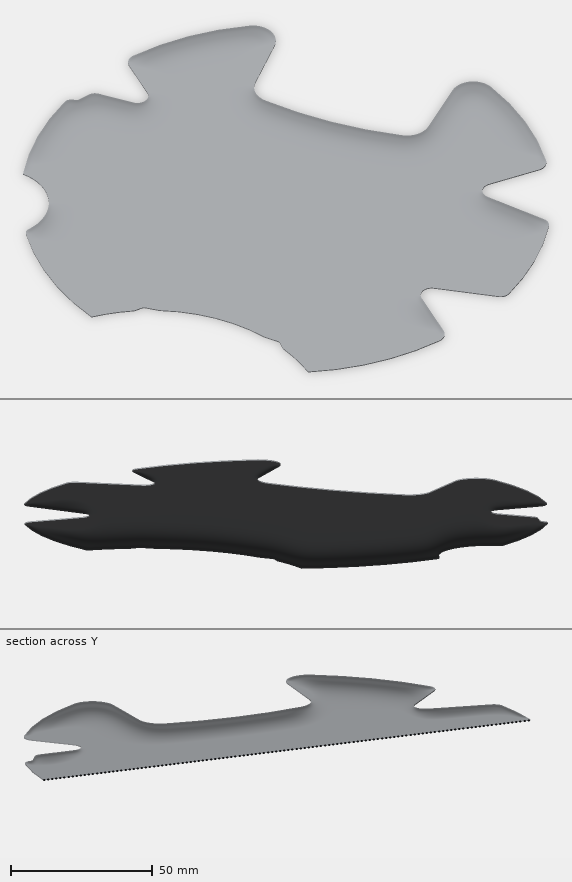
import cadquery as cq
import math

disc_radius = 94.3
thickness = 0.41
cutter_reach = 1.2 * disc_radius

flank_offset = 31.1
arm_mid_x = 79.2
arm_mid_y = 24.1
arm_slope = math.tan(math.radians(10))
arm_flank_rise = arm_mid_y + arm_slope * arm_mid_x
notch_root_radius = 4.0
flank_tip_radius = 4.3
arm_tip_radius = 3.5

left_flank_y = 28.7
step_top_x = -84.5
step_bottom_x = -88.2
step_bottom_y = 22.5
step_top_radius = 3.4
step_root_radius = 1.9
step_tip_radius = 2.8

bite_x = -94.3
bite_y = -39.2
bite_radius = 18.0
bite_tip_radius = 2.3

slot_half_width_top = 34.0
slot_half_width_floor = 32.6
slot_top_y = 79.2
slot_floor_y = 44.3
slot_corner_y = 47.9
slot_floor_radius = 8.3
slot_tip_radius = 8.1

arch_top_y = -69.5
arch_radius = 63.2
nick_inner_x = 20.0
nick_outer_x = 25.8
nick_y = -73.3
nick_end_x = 28.3
nick_depth = 3.8
nick_radius = 1.5


def disc_x(y):
    """Positive x of the disc edge at height y."""
    return math.sqrt(disc_radius**2 - y**2)


def disc_y(x):
    """Positive y of the disc edge at x."""
    return math.sqrt(disc_radius**2 - x**2)


def arch_y(x):
    """Height of the bottom arch at x."""
    return arch_top_y - arch_radius + math.sqrt(arch_radius**2 - x**2)


def arm_y(x):
    """Height of the upper sloped flank of the right arm at x."""
    return arm_flank_rise - arm_slope * x


def plate(points):
    """Straight-sided cutter of the plate thickness."""
    return cq.Workplane("XY").polyline(points).close().extrude(thickness)


def round_plate(x, y, radius):
    """Circular plate of the plate thickness."""
    return cq.Workplane("XY").center(x, y).circle(radius).extrude(thickness)


def round_corner(body, x, y, radius):
    """Fillet the upright edge nearest to (x, y)."""
    corner = cq.selectors.NearestToPointSelector((x, y, thickness / 2))
    return body.edges("|Z").edges(corner).fillet(radius)


flank_tip_x = (flank_offset + math.sqrt(2 * disc_radius**2 - flank_offset**2)) / 2
flank_tip_y = flank_tip_x - flank_offset

result = round_plate(0, 0, disc_radius)

root_x = (flank_offset + arm_flank_rise) / (1 + arm_slope)
root_y = root_x - flank_offset
arm_scale = 1 + arm_slope**2
arm_tip_spread = math.sqrt(disc_radius**2 * arm_scale - arm_flank_rise**2)
arm_tip_x = (arm_slope * arm_flank_rise + arm_tip_spread) / arm_scale
for side in (1, -1):
    result = result.cut(plate([
        (root_x, side * root_y),
        (cutter_reach, side * arm_y(cutter_reach)),
        (cutter_reach, side * (cutter_reach - flank_offset)),
    ]))
    result = round_corner(result, root_x, side * root_y, notch_root_radius)
    result = round_corner(result, flank_tip_x, side * flank_tip_y, flank_tip_radius)
    result = round_corner(result, arm_tip_x, side * arm_y(arm_tip_x), arm_tip_radius)

left_root_x = -(left_flank_y + flank_offset)
result = result.cut(plate([
    (left_root_x, left_flank_y),
    (step_top_x, left_flank_y),
    (step_bottom_x, step_bottom_y),
    (-cutter_reach, step_bottom_y),
    (-cutter_reach, cutter_reach - flank_offset),
]))
result = round_corner(result, left_root_x, left_flank_y, notch_root_radius)
result = round_corner(result, -flank_tip_x, flank_tip_y, flank_tip_radius)
result = round_corner(result, step_top_x, left_flank_y, step_top_radius)
result = round_corner(result, step_bottom_x, step_bottom_y, step_root_radius)
result = round_corner(result, -disc_x(step_bottom_y), step_bottom_y, step_tip_radius)

result = result.cut(round_plate(bite_x, bite_y, bite_radius))
result = round_corner(result, -flank_tip_x, -flank_tip_y, bite_tip_radius)

wall_lean = (slot_half_width_top - slot_half_width_floor) / (slot_top_y - slot_corner_y)
slot_half_width_reach = slot_half_width_top + wall_lean * (cutter_reach - slot_top_y)
slot = (
    cq.Workplane("XY")
    .moveTo(-slot_half_width_reach, cutter_reach)
    .lineTo(-slot_half_width_floor, slot_corner_y)
    .threePointArc((0, slot_floor_y), (slot_half_width_floor, slot_corner_y))
    .lineTo(slot_half_width_reach, cutter_reach)
    .close()
    .extrude(thickness)
)
result = result.cut(slot)
for side in (1, -1):
    result = round_corner(result, side * slot_half_width_floor, slot_corner_y, slot_floor_radius)
    result = round_corner(
        result, side * slot_half_width_top, disc_y(slot_half_width_top), slot_tip_radius)

result = result.cut(round_plate(0, arch_top_y - arch_radius, arch_radius))
for side in (1, -1):
    result = result.cut(plate([
        (side * nick_inner_x, arch_y(nick_inner_x)),
        (side * nick_outer_x, nick_y),
        (side * nick_end_x, arch_y(nick_end_x)),
        (side * nick_outer_x, nick_y - nick_depth),
    ]))
    result = round_corner(result, side * nick_outer_x, nick_y, nick_radius)
    result = round_corner(result, side * nick_end_x, arch_y(nick_end_x), nick_radius)